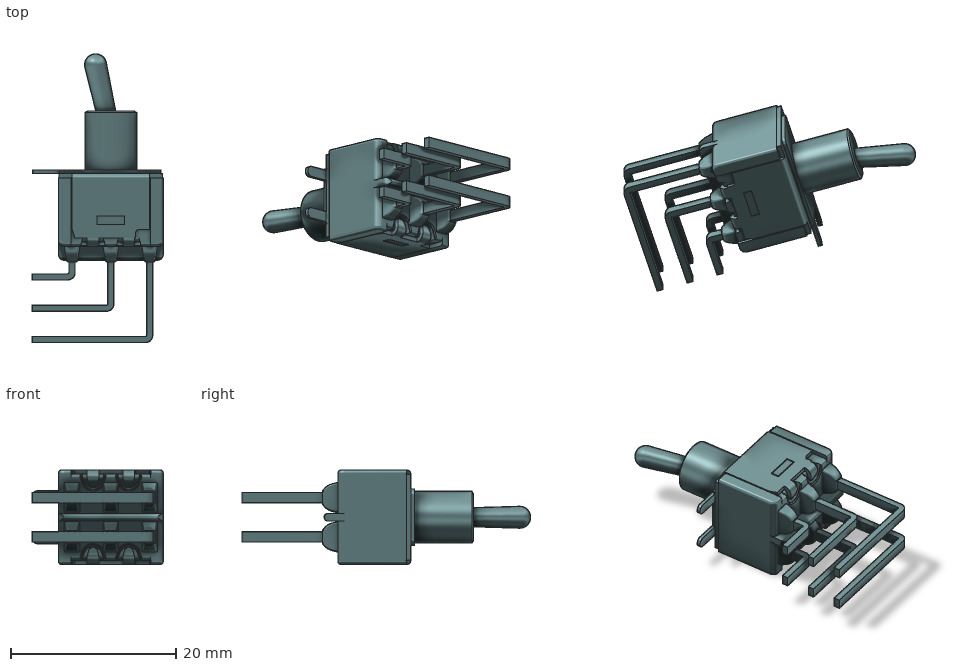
import cadquery as cq
import math


half_width = 6.35
half_height = 5.74
shoulder_y = -0.98
base_y = -9.28
side_fillet = 0.42
base_side_fillet = 0.75
lip_half_width = 6.28
lip_half_height = 5.15

cover_half_width = 4.68
cover_thickness = 0.53
cover_bend_radius = half_height - lip_half_height
cover_end_y = -8.26
cover_corner_width = 0.33
cover_corner_start_y = -7.2
notch_x = 3.0
notch_top_y = -7.2
notch_radius = 0.43
channel_gap = 0.13
channel_half_width = cover_half_width + channel_gap
channel_floor_z = half_height - cover_thickness
window_width = 3.33
window_height = 1.0
window_y = -6.08
window_depth = 0.1

hook_x = 2.16
hook_width = 1.42
hook_tip_width = 1.0
hook_inner_radius = 0.45
hook_outer_radius = hook_inner_radius + cover_thickness
bend_angle = math.radians(110)
hook_tongue_length = 0.85
hook_bend_z = half_height - hook_outer_radius
hook_tip_rounding = 0.3
pocket_mouth_half_width = 1.7
pocket_root_half_width = 1.2
pocket_bottom_z = 3.33
pocket_arc_rise = 0.9
pocket_depth = 1.3
pocket_flare = 14
pocket_rim = 0.15
pocket_rim_flare = 45

plate_thickness = 0.43
plate_left_x = -6.22
plate_right_x = 6.07
plate_half_height = 3.43
plate_corner_radius = 1.59 / 2
tab_width = 1.27
tab_end_x = -9.47
tab_z = 2.59

bushing_diameter = 6.3
bushing_length = 7.14
bushing_chamfer_length = 0.3
bushing_chamfer_depth = 0.2
lever_tilt = 12.5
lever_pivot_y = 4.37
lever_tip_y = 14.06
lever_tip_radius = 1.34
lever_root_radius = 1.1

terminal_columns = 3
terminal_pitch_x = 4.7
terminal_z = 2.38
lead_thickness = 0.76
lead_height = 1.27
lead_pitch_y = 3.79
lead_first_y = -12.95
lead_end_x = -9.525
bend_inner_radius = 0.15
bend_outer_radius = bend_inner_radius + lead_thickness

boss_half_width = 1.08
boss_tip_half_width = 0.62
boss_half_height = 1.85
boss_flank_half_height = 1.66
boss_flank_y = -10.04
boss_arc_radius = 4.04 / 2
boss_tip_half_height = 0.8
boss_tip_y = -11.15
boss_fillet = (4.04 - 3.53) / 2

rib_thickness = 0.95
rib_end_y = -10.95
rib_corner_radius = 0.75


def block(x0, x1, y0, y1, z0, z1):
    return cq.Workplane("XY").box(x1 - x0, y1 - y0, z1 - z0, centered=False).translate((x0, y0, z0))


def both_faces(shape):
    """The +Z shape together with its mirror image on the -Z side."""
    return shape.union(shape.mirror("XY"))


def make_housing():
    core = block(-half_width, half_width, base_y, shoulder_y, -half_height, half_height)
    core = core.faces("<Y").edges("|Z").fillet(base_side_fillet)
    core = core.faces(">Z or <Z").edges("not >Y").fillet(side_fillet)
    channel = block(-channel_half_width, channel_half_width, base_y, shoulder_y, channel_floor_z, half_height)
    core = core.cut(both_faces(channel))
    edge_block = block(-channel_half_width, channel_half_width, base_y, base_y + side_fillet,
                       channel_floor_z - side_fillet, channel_floor_z)
    edge_rod = (
        cq.Workplane("YZ")
        .center(base_y + side_fillet, channel_floor_z - side_fillet)
        .circle(side_fillet)
        .extrude(channel_half_width, both=True)
    )
    core = core.cut(both_faces(edge_block.cut(edge_rod)))
    lip = block(-lip_half_width, lip_half_width, shoulder_y, -plate_thickness,
                -lip_half_height, lip_half_height)
    return core.union(lip)


def bend_point(radius, angle):
    """(Y, Z) point on a hook bend, at an angle turned from +Z toward -Y."""
    return (cover_end_y - radius * math.sin(angle), hook_bend_z + radius * math.cos(angle))


def tongue_point(radius, run):
    """(Y, Z) point on the straight tongue, at a distance past the end of the bend."""
    y, z = bend_point(radius, bend_angle)
    return (y - run * math.cos(bend_angle), z - run * math.sin(bend_angle))


def make_scallop(x, growth, depth, flare):
    """U-shaped recess in the base, its outline grown outward and narrowing with depth."""
    root_half_width = pocket_root_half_width + growth
    mouth_half_width = pocket_mouth_half_width + growth
    bottom_z = pocket_bottom_z - growth
    arc_start_z = bottom_z + pocket_arc_rise
    return (
        cq.Workplane("XZ", origin=(x, base_y, 0))
        .moveTo(-mouth_half_width, half_height)
        .lineTo(-root_half_width, arc_start_z)
        .threePointArc((0, bottom_z), (root_half_width, arc_start_z))
        .lineTo(mouth_half_width, half_height)
        .close()
        .extrude(-depth, taper=flare)
    )


def make_pocket(x):
    """Flaring scallop with a chamfered rim, its floor following the inner side of the hook."""
    scallop = make_scallop(x, 0, pocket_depth, pocket_flare)
    rim = make_scallop(x, pocket_rim, pocket_rim, pocket_rim_flare)
    scallop = scallop.union(rim)
    floor_end = tongue_point(hook_inner_radius, 2 * hook_tongue_length)
    above_floor = (
        cq.Workplane("YZ")
        .moveTo(cover_end_y, channel_floor_z)
        .threePointArc(bend_point(hook_inner_radius, bend_angle / 2),
                       bend_point(hook_inner_radius, bend_angle))
        .lineTo(*floor_end)
        .lineTo(base_y, floor_end[1])
        .lineTo(base_y, channel_floor_z)
        .close()
        .extrude(half_width, both=True)
    )
    return scallop.intersect(above_floor)


def make_hook(x):
    """Strip bent round the base, with a tongue narrowing to a rounded tip."""
    band = (
        cq.Workplane("YZ", origin=(x, 0, 0))
        .moveTo(cover_end_y, half_height)
        .threePointArc(bend_point(hook_outer_radius, bend_angle / 2),
                       bend_point(hook_outer_radius, bend_angle))
        .lineTo(*tongue_point(hook_outer_radius, hook_tongue_length))
        .lineTo(*tongue_point(hook_inner_radius, hook_tongue_length))
        .lineTo(*bend_point(hook_inner_radius, bend_angle))
        .threePointArc(bend_point(hook_inner_radius, bend_angle / 2), (cover_end_y, channel_floor_z))
        .close()
        .extrude(hook_width / 2, both=True)
    )
    tip_z = tongue_point(hook_outer_radius, hook_tongue_length)[1]
    shoulder_z = tip_z + hook_tip_rounding
    outline = (
        cq.Workplane("XZ", origin=(x, 0, 0))
        .moveTo(-hook_width / 2, half_height)
        .lineTo(-hook_width / 2, hook_bend_z)
        .lineTo(-hook_tip_width / 2, shoulder_z)
        .threePointArc((0, tip_z), (hook_tip_width / 2, shoulder_z))
        .lineTo(hook_width / 2, hook_bend_z)
        .lineTo(hook_width / 2, half_height)
        .close()
        .extrude(-2 * base_y, both=True)
    )
    return band.intersect(outline)


def make_cover():
    """One Z side of the cover: bend, flat, slanted corner and notched corner."""
    sheet = (
        cq.Workplane("XY", origin=(0, 0, channel_floor_z))
        .moveTo(-cover_half_width, -plate_thickness)
        .lineTo(-cover_half_width, cover_corner_start_y)
        .lineTo(-cover_half_width + cover_corner_width, cover_end_y)
        .lineTo(notch_x, cover_end_y)
        .lineTo(notch_x, notch_top_y - notch_radius)
        .radiusArc((notch_x + notch_radius, notch_top_y), notch_radius)
        .lineTo(cover_half_width, notch_top_y)
        .lineTo(cover_half_width, -plate_thickness)
        .close()
        .extrude(cover_thickness)
    )
    root = block(-cover_half_width, cover_half_width, shoulder_y, -plate_thickness, 0, channel_floor_z)
    sheet = sheet.union(root).edges("|X and >Y and >Z").fillet(cover_bend_radius)
    window = block(-window_width / 2, window_width / 2,
                   window_y - window_height / 2, window_y + window_height / 2,
                   half_height - window_depth, half_height)
    sheet = sheet.cut(window)
    for x in (-hook_x, hook_x):
        sheet = sheet.union(make_hook(x))
    return sheet


def make_plate():
    plate = block(plate_left_x, plate_right_x, -plate_thickness, 0, -plate_half_height, plate_half_height)
    plate = plate.edges("|Y and >X").fillet(plate_corner_radius)
    for z in (-tab_z, tab_z):
        tip_x = tab_end_x + tab_width / 2
        tip = cq.Workplane("XZ").center(tip_x, z).circle(tab_width / 2).extrude(plate_thickness)
        tab = block(tip_x, 0, -plate_thickness, 0, z - tab_width / 2, z + tab_width / 2)
        plate = plate.union(tab).union(tip)
    return plate


def make_bushing():
    bushing = cq.Workplane("XZ").circle(bushing_diameter / 2).extrude(-bushing_length)
    return bushing.faces(">Y").chamfer(bushing_chamfer_depth, bushing_chamfer_length)


def make_rib():
    rib = block(-half_width, half_width, rib_end_y, base_y + base_side_fillet,
                -rib_thickness / 2, rib_thickness / 2)
    rib = rib.edges("|Z and <Y").fillet(rib_corner_radius)
    nose_y = rib_end_y + rib_thickness / 2
    rounded = cq.Workplane("YZ").center(nose_y, 0).circle(rib_thickness / 2).extrude(half_width, both=True)
    straight = block(-half_width, half_width, nose_y, 0, -rib_thickness / 2, rib_thickness / 2)
    return rib.intersect(rounded.union(straight))


def make_boss(x, z):
    root_y = base_y + base_side_fillet
    slope = (boss_half_height - boss_flank_half_height) / (base_y - boss_flank_y)
    root_half_height = boss_half_height + slope * base_side_fillet
    profile = (
        cq.Workplane("YZ")
        .moveTo(root_y, root_half_height)
        .lineTo(boss_flank_y, boss_flank_half_height)
        .radiusArc((boss_tip_y, boss_tip_half_height), -boss_arc_radius)
        .lineTo(boss_tip_y, -boss_tip_half_height)
        .radiusArc((boss_flank_y, -boss_flank_half_height), -boss_arc_radius)
        .lineTo(root_y, -root_half_height)
        .close()
        .extrude(2 * boss_half_width, both=True)
    )
    wedge = (
        cq.Workplane("XY")
        .polyline([(-boss_half_width, root_y), (boss_half_width, root_y),
                   (boss_tip_half_width, boss_tip_y), (-boss_tip_half_width, boss_tip_y)])
        .close()
        .extrude(2 * boss_half_height, both=True)
    )
    boss = profile.intersect(wedge)
    boss = boss.faces(">X or <X").edges("not >Y").fillet(boss_fillet)
    return boss.translate((x, 0, z))


def make_lead(x, y, z):
    half = lead_thickness / 2
    lead = (
        cq.Workplane("XY")
        .moveTo(x - half, base_y)
        .lineTo(x - half, y + half)
        .lineTo(lead_end_x, y + half)
        .lineTo(lead_end_x, y - half)
        .lineTo(x + half, y - half)
        .lineTo(x + half, base_y)
        .close()
        .extrude(lead_height / 2, both=True)
    )
    inner = cq.selectors.NearestToPointSelector((x - half, y + half, 0))
    outer = cq.selectors.NearestToPointSelector((x + half, y - half, 0))
    lead = lead.edges("|Z").edges(outer).fillet(bend_outer_radius)
    lead = lead.edges("|Z").edges(inner).fillet(bend_inner_radius)
    return lead.translate((0, 0, z))


def make_lever():
    """Tapered lever with a ball end, made along +Y and then tilted toward -X at its pivot."""
    length = (lever_tip_y - lever_tip_radius - lever_pivot_y) / math.cos(math.radians(lever_tilt))
    lever = (
        cq.Workplane("XY")
        .lineTo(lever_root_radius, 0)
        .lineTo(lever_tip_radius, length)
        .threePointArc(
            (lever_tip_radius * math.sqrt(0.5), length + lever_tip_radius * math.sqrt(0.5)),
            (0, length + lever_tip_radius),
        )
        .close()
        .revolve(360, (0, 0, 0), (0, 1, 0))
    )
    lever = lever.rotate((0, 0, 0), (0, 0, 1), lever_tilt)
    return lever.translate((0, lever_pivot_y, 0))


def make_switch_body(lever):
    body = make_housing()
    for x in (-hook_x, hook_x):
        body = body.cut(both_faces(make_pocket(x)))
    body = body.union(both_faces(make_cover()))
    body = body.union(make_plate()).union(make_bushing()).union(make_rib())
    for z in (-terminal_z, terminal_z):
        for column in range(terminal_columns):
            x = (column - (terminal_columns - 1) / 2) * terminal_pitch_x
            body = body.union(make_boss(x, z))
            body = body.union(make_lead(x, lead_first_y - column * lead_pitch_y, z))
    return body.cut(lever)


lever = make_lever()
switch_body = make_switch_body(lever)
result = cq.Compound.makeCompound([switch_body.val(), lever.val()])